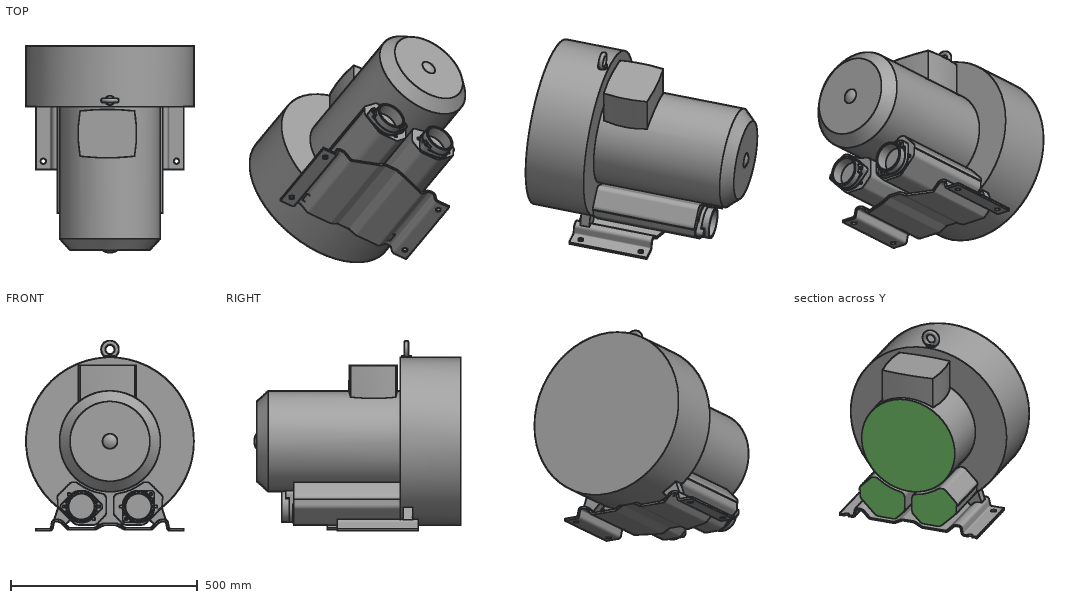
import cadquery as cq
import math


OVERALL_HEIGHT = 509.31

CASING_RADIUS = 225.0
CASING_DEPTH = 163.0

MOTOR_RADIUS = 135.0
MOTOR_LENGTH = 384.0
MOTOR_TAPER_LENGTH = 31.0
MOTOR_END_RADIUS = 106.8
NUB_RADIUS = 20.0
NUB_HEIGHT = 6.7

BOX_CENTER = (-7.0, -72.0)
BOX_HALF_X = 72.8
BOX_HALF_Y = 60.5
BOX_BULGE_X = 5.3
BOX_BULGE_Y = 4.3
BOX_TOP_Z = 203.0

EYE_Y = 16.8
EYE_TOP_Z = 269.5
EYE_OUTER_RADIUS = 24.0
EYE_WIRE_RADIUS = 6.0
COLLAR_RADIUS = 12.5
COLLAR_HEIGHT = 4.4

SILENCER_LENGTH = 284.6
SILENCER_INNER_X = 10.0
SILENCER_OUTER_X = 141.6
SILENCER_STEP = 2.2
SILENCER_STEP_Z = -154.8
SILENCER_TOP_Z = -109.4
SILENCER_BOTTOM_Z = -224.0
SILENCER_MOTOR_GAP = 6.4
SILENCER_BACK_X = 104.0
SILENCER_UNDER_X = 92.0
SILENCER_BEVEL = 28.0
SILENCER_ROUND = 14.0
SILENCER_UNDER_ROUND = 22.0

PORT_X = 76.2
PORT_Z = -174.7
PORT_LENGTH = 32.1
GASKET_RADIUS = 43.0
GASKET_THICKNESS = 2.0
GASKET_TAB_WIDTH = 7.5
GASKET_TAB_REACH = 50.8
FLANGE_RADIUS = 42.5
FLANGE_FRONT = 12.4
EAR_FRONT = 21.4
EAR_OFFSET = 46.8
EAR_BOSS_RADIUS = 13.0
EAR_HOLE_DIAMETER = 7.0
PIPE_RADIUS = 41.3
BORE_ROOT_RADIUS = 34.5
BORE_MOUTH_RADIUS = 36.5

SHEET = 6.0
BASE_BOTTOM_Z = EYE_TOP_Z - OVERALL_HEIGHT
BASE_BACK_Y = 49.2
BASE_FRONT_Y = -168.6
BASE_HALF_WIDTH = 198.0
FOOT_BEND_X = 156.5
HUMP_OUTER_X = 151.5
HUMP_INNER_X = 133.0
HUMP_TOP_Z = -209.0
VALLEY_OUTER_X = 111.0
VALLEY_INNER_X = 40.5
VALLEY_TOP_Z = -231.0
BRIDGE_HALF_WIDTH = 17.5
BRIDGE_TOP_Z = -219.2
BEND_RADIUS = 4.0
HUMP_INNER_RADIUS = 14.0
TONGUE_LENGTH = 26.2
FOOT_HOLE_X = 178.2
FOOT_HOLE_DIAMETER = 14.0
FOOT_HOLE_PITCH = 168.8
FOOT_HOLE_FRONT_Y = -145.9

LEG_BACK_Y = 33.5
LEG_FRONT_Y = 8.0
LEG_OUTLINE = [
    (130.0, -150.0),
    (149.5, -209.5),
    (143.0, -213.0),
    (120.0, -223.5),
    (85.0, -191.0),
]


def front_plane(y):
    """Sketch plane at the given Y, with +X right, +Z up and extrusion toward -Y."""
    return cq.Workplane("XZ", origin=(0, y, 0))


def mirrored_pair(body):
    return body.union(body.mirror("YZ"))


def make_casing():
    return front_plane(CASING_DEPTH).circle(CASING_RADIUS).extrude(CASING_DEPTH)


def make_motor():
    """Turned motor body with a tapered end and a domed nub."""
    taper_start = MOTOR_LENGTH - MOTOR_TAPER_LENGTH
    dome_radius = (NUB_RADIUS**2 + NUB_HEIGHT**2) / (2 * NUB_HEIGHT)
    dome_half_angle = math.asin(NUB_RADIUS / dome_radius) / 2
    dome_mid_radius = dome_radius * math.sin(dome_half_angle)
    dome_mid_y = -(MOTOR_LENGTH + NUB_HEIGHT - dome_radius * (1 - math.cos(dome_half_angle)))
    profile = (
        cq.Workplane("XY")
        .moveTo(0, 0)
        .lineTo(MOTOR_RADIUS, 0)
        .lineTo(MOTOR_RADIUS, -taper_start)
        .lineTo(MOTOR_END_RADIUS, -MOTOR_LENGTH)
        .lineTo(NUB_RADIUS, -MOTOR_LENGTH)
        .threePointArc((dome_mid_radius, dome_mid_y), (0, -MOTOR_LENGTH - NUB_HEIGHT))
        .close()
    )
    return profile.revolve(360, (0, 0, 0), (0, 1, 0))


def make_terminal_box():
    reach_x = BOX_HALF_X + BOX_BULGE_X
    reach_y = BOX_HALF_Y + BOX_BULGE_Y
    return (
        cq.Workplane("XY")
        .center(*BOX_CENTER)
        .moveTo(-BOX_HALF_X, -BOX_HALF_Y)
        .threePointArc((0, -reach_y), (BOX_HALF_X, -BOX_HALF_Y))
        .threePointArc((reach_x, 0), (BOX_HALF_X, BOX_HALF_Y))
        .threePointArc((0, reach_y), (-BOX_HALF_X, BOX_HALF_Y))
        .threePointArc((-reach_x, 0), (-BOX_HALF_X, -BOX_HALF_Y))
        .close()
        .extrude(BOX_TOP_Z)
    )


def make_eye_bolt():
    ring_radius = EYE_OUTER_RADIUS - EYE_WIRE_RADIUS
    ring_center = cq.Vector(0, EYE_Y, EYE_TOP_Z - EYE_OUTER_RADIUS)
    ring = cq.Workplane(cq.Solid.makeTorus(ring_radius, EYE_WIRE_RADIUS, ring_center, cq.Vector(0, 1, 0)))
    collar = (
        cq.Workplane("XY", origin=(0, EYE_Y, CASING_RADIUS - COLLAR_HEIGHT))
        .circle(COLLAR_RADIUS)
        .extrude(2 * COLLAR_HEIGHT)
    )
    return ring.union(collar)


def silencer_body(outer_x):
    """Right-hand silencer body, hollowed along its upper inner side to clear the motor."""
    hollow_radius = MOTOR_RADIUS + SILENCER_MOTOR_GAP

    def hollow_point(x):
        return (x, -math.sqrt(hollow_radius**2 - x**2))

    hollow_top_x = math.sqrt(hollow_radius**2 - SILENCER_TOP_Z**2)
    upper_bevel_drop = outer_x - SILENCER_BACK_X
    lower_bevel_rise = outer_x - SILENCER_UNDER_X
    body = (
        front_plane(0)
        .moveTo(SILENCER_INNER_X + SILENCER_BEVEL, SILENCER_BOTTOM_Z)
        .lineTo(SILENCER_UNDER_X, SILENCER_BOTTOM_Z)
        .lineTo(outer_x, SILENCER_BOTTOM_Z + lower_bevel_rise)
        .lineTo(outer_x, SILENCER_TOP_Z - upper_bevel_drop)
        .lineTo(SILENCER_BACK_X, SILENCER_TOP_Z)
        .lineTo(hollow_top_x, SILENCER_TOP_Z)
        .threePointArc(
            hollow_point((hollow_top_x + SILENCER_INNER_X) / 2),
            hollow_point(SILENCER_INNER_X),
        )
        .lineTo(SILENCER_INNER_X, SILENCER_BOTTOM_Z + SILENCER_BEVEL)
        .close()
        .extrude(SILENCER_LENGTH)
    )
    under_corner = cq.selectors.NearestToPointSelector(
        (SILENCER_UNDER_X, -SILENCER_LENGTH / 2, SILENCER_BOTTOM_Z)
    )
    body = body.edges("|Y").edges(under_corner).fillet(SILENCER_UNDER_ROUND)
    sharp_corners = [
        (outer_x, SILENCER_BOTTOM_Z + lower_bevel_rise),
        (outer_x, SILENCER_TOP_Z - upper_bevel_drop),
        (SILENCER_BACK_X, SILENCER_TOP_Z),
        (hollow_top_x, SILENCER_TOP_Z),
        hollow_point(SILENCER_INNER_X),
        (SILENCER_INNER_X, SILENCER_BOTTOM_Z + SILENCER_BEVEL),
        (SILENCER_INNER_X + SILENCER_BEVEL, SILENCER_BOTTOM_Z),
    ]
    for x, z in sharp_corners:
        corner = cq.selectors.NearestToPointSelector((x, -SILENCER_LENGTH / 2, z))
        body = body.edges("|Y").edges(corner).fillet(SILENCER_ROUND)
    return body


def make_silencer():
    """Silencer whose upper part overhangs the lower outer side by a small step."""
    cover_height = SILENCER_TOP_Z - SILENCER_STEP_Z
    cover_space = (
        front_plane(0)
        .rect(SILENCER_OUTER_X, cover_height, centered=False)
        .extrude(SILENCER_LENGTH)
        .translate((0, 0, SILENCER_STEP_Z))
    )
    cover = silencer_body(SILENCER_OUTER_X).intersect(cover_space)
    return silencer_body(SILENCER_OUTER_X - SILENCER_STEP).union(cover)


def make_port(ear_angle, tab_angle):
    """Gasket, eared flange and pipe, built around the Y axis at Y = 0."""
    gasket = front_plane(0).circle(GASKET_RADIUS).extrude(GASKET_THICKNESS)
    tabs = (
        front_plane(0)
        .transformed(rotate=(0, 0, tab_angle))
        .slot2D(2 * GASKET_TAB_REACH, GASKET_TAB_WIDTH)
        .extrude(GASKET_THICKNESS)
    )
    port = gasket.union(tabs).union(make_flange(ear_angle))
    port = port.union(front_plane(0).circle(PIPE_RADIUS).extrude(PORT_LENGTH))
    ear_holes = (
        front_plane(0)
        .transformed(rotate=(0, 0, ear_angle))
        .pushPoints([(-EAR_OFFSET, 0), (EAR_OFFSET, 0)])
        .circle(EAR_HOLE_DIAMETER / 2)
        .extrude(EAR_FRONT)
    )
    bore = (
        front_plane(0)
        .circle(BORE_ROOT_RADIUS)
        .workplane(offset=PORT_LENGTH)
        .circle(BORE_MOUTH_RADIUS)
        .loft()
    )
    return port.cut(ear_holes).cut(bore)


def flange_blank(plane, thickness):
    """Round plate with two opposite ears along the sketch plane's local X.

    An ear's straight flanks lie at 45 degrees to its direction, tangent to the
    round plate and to the round tip about the ear hole.
    """
    tip_radius = FLANGE_RADIUS - EAR_OFFSET / math.sqrt(2)
    tangent = FLANGE_RADIUS / math.sqrt(2)
    flank_x = EAR_OFFSET + tip_radius / math.sqrt(2)
    flank_z = tip_radius / math.sqrt(2)
    tip_x = EAR_OFFSET + tip_radius
    return (
        plane.moveTo(tangent, tangent)
        .threePointArc((0, FLANGE_RADIUS), (-tangent, tangent))
        .lineTo(-flank_x, flank_z)
        .threePointArc((-tip_x, 0), (-flank_x, -flank_z))
        .lineTo(-tangent, -tangent)
        .threePointArc((0, -FLANGE_RADIUS), (tangent, -tangent))
        .lineTo(flank_x, -flank_z)
        .threePointArc((tip_x, 0), (flank_x, flank_z))
        .close()
        .extrude(thickness)
    )


def make_flange(ear_angle):
    """Eared flange with a raised boss on each ear, flush with the ear's outline."""
    plane = front_plane(0).transformed(rotate=(0, 0, ear_angle))
    bosses = (
        plane.pushPoints([(-EAR_OFFSET, 0), (EAR_OFFSET, 0)])
        .circle(EAR_BOSS_RADIUS)
        .extrude(EAR_FRONT)
        .intersect(flange_blank(plane, EAR_FRONT))
    )
    return flange_blank(plane, FLANGE_FRONT).union(bosses)


def base_centerline_right():
    """Bend points of the sheet's middle line, from the bridge out to the foot edge."""
    half = SHEET / 2
    return [
        (BRIDGE_HALF_WIDTH, BRIDGE_TOP_Z - half),
        (VALLEY_INNER_X, VALLEY_TOP_Z - half),
        (VALLEY_OUTER_X, VALLEY_TOP_Z - half),
        (HUMP_INNER_X, HUMP_TOP_Z - half),
        (HUMP_OUTER_X, HUMP_TOP_Z - half),
        (FOOT_BEND_X, BASE_BOTTOM_Z + half),
        (BASE_HALF_WIDTH, BASE_BOTTOM_Z + half),
    ]


def parallel_points(points, offset):
    """Shift a polyline sideways, keeping its two level ends at the same X."""
    shifted = []
    for i, (x, z) in enumerate(points):
        before = points[max(i - 1, 0)]
        after = points[min(i + 1, len(points) - 1)]
        angle_in = math.atan2(z - before[1], x - before[0])
        angle_out = math.atan2(after[1] - z, after[0] - x)
        middle = (angle_in + angle_out) / 2
        reach = offset / math.cos((angle_out - angle_in) / 2)
        shifted.append((x - reach * math.sin(middle), z + reach * math.cos(middle)))
    return shifted


def make_base_plate():
    right = base_centerline_right()
    centerline = [(-x, z) for x, z in reversed(right)] + right
    upper = parallel_points(centerline, SHEET / 2)
    lower = parallel_points(centerline, -SHEET / 2)
    tongue_y = BASE_FRONT_Y - TONGUE_LENGTH
    depth = BASE_BACK_Y - tongue_y
    plate = front_plane(BASE_BACK_Y).polyline(upper + lower[::-1]).close().extrude(depth)

    for i in range(1, len(centerline) - 1):
        slope_in = centerline[i][1] - centerline[i - 1][1]
        slope_out = centerline[i + 1][1] - centerline[i][1]
        turns_up = slope_out > slope_in
        inside = HUMP_INNER_RADIUS if abs(centerline[i][0]) == HUMP_INNER_X else BEND_RADIUS
        upper_radius = inside if turns_up else inside + SHEET
        lower_radius = inside + SHEET if turns_up else inside
        for (x, z), radius in ((upper[i], upper_radius), (lower[i], lower_radius)):
            corner = cq.selectors.NearestToPointSelector((x, BASE_BACK_Y - depth / 2, z))
            plate = plate.edges("|Y").edges(corner).fillet(radius)

    hole_ys = (FOOT_HOLE_FRONT_Y, FOOT_HOLE_FRONT_Y + FOOT_HOLE_PITCH)
    holes = (
        cq.Workplane("XY", origin=(0, 0, BASE_BOTTOM_Z))
        .pushPoints([(side * FOOT_HOLE_X, y) for side in (-1, 1) for y in hole_ys])
        .circle(FOOT_HOLE_DIAMETER / 2)
        .extrude(SHEET)
    )
    waste_outline = [
        (VALLEY_INNER_X, tongue_y),
        (VALLEY_OUTER_X, BASE_FRONT_Y),
        (BASE_HALF_WIDTH, BASE_FRONT_Y),
        (BASE_HALF_WIDTH, tongue_y),
    ]
    waste = (
        cq.Workplane("XY", origin=(0, 0, BASE_BOTTOM_Z))
        .polyline(waste_outline)
        .close()
        .extrude(HUMP_TOP_Z - BASE_BOTTOM_Z)
    )
    return plate.cut(holes).cut(mirrored_pair(waste))


def make_leg():
    """Right-hand leg, running from inside the casing down into the sheet's hump."""
    return front_plane(LEG_BACK_Y).polyline(LEG_OUTLINE).close().extrude(LEG_BACK_Y - LEG_FRONT_Y)


result = make_casing()
result = result.union(make_motor())
result = result.union(make_terminal_box())
result = result.union(make_eye_bolt())
result = result.union(mirrored_pair(make_silencer()))
result = result.union(make_port(0, 135).translate((-PORT_X, -SILENCER_LENGTH, PORT_Z)))
result = result.union(make_port(45, 0).translate((PORT_X, -SILENCER_LENGTH, PORT_Z)))
result = result.union(make_base_plate())
result = result.union(mirrored_pair(make_leg()))